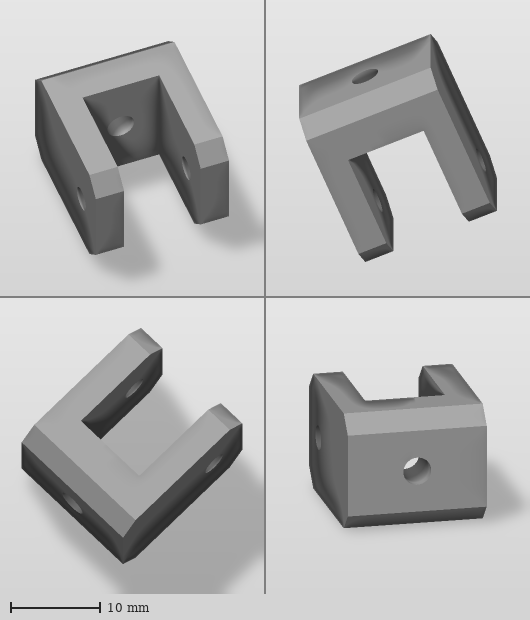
import cadquery as cq

length = 19.0
width = 16.0
height = 13.5

corner_chamfer = 2.0
base_thickness = 6.0
arm_thickness = 3.4
pin_diameter = 2.8
pin_from_base_face = 14.5
mounting_diameter = 3.2

slot_length = length - base_thickness
slot_width = width - 2 * arm_thickness


def make_body():
    """Block with its base face at X = 0 and its four Y-direction edges chamfered."""
    block = cq.Workplane("XY").box(length, width, height, centered=(False, True, True))
    return block.edges("|Y").chamfer(corner_chamfer)


def make_slot():
    """Full-height gap between the two arms, open toward +X."""
    slot = cq.Workplane("XY").box(slot_length, slot_width, height, centered=(False, True, True))
    return slot.translate((base_thickness, 0, 0))


def make_pin_hole():
    """Cross hole through both arms."""
    return (
        cq.Workplane("XZ")
        .center(pin_from_base_face, 0)
        .circle(pin_diameter / 2)
        .extrude(width / 2, both=True)
    )


def make_mounting_hole():
    """Central hole through the base into the slot."""
    return cq.Workplane("YZ").circle(mounting_diameter / 2).extrude(base_thickness)


result = make_body().cut(make_slot()).cut(make_pin_hole()).cut(make_mounting_hole())